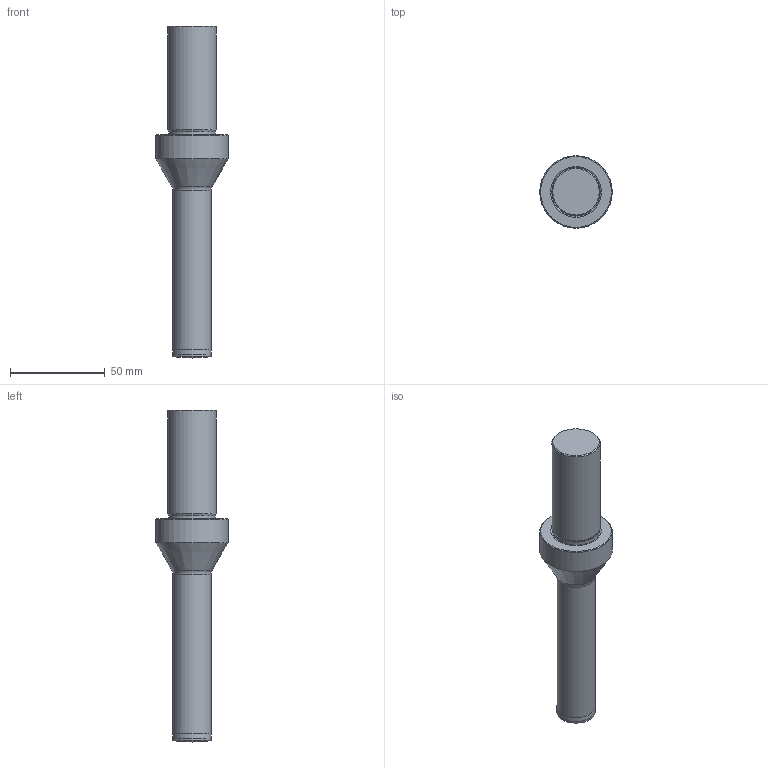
import cadquery as cq
import math

total_length = 174.75

shank_length = 57.15
shank_radius = 25.4 / 2
shank_chamfer = 0.5

relief_depth = 0.5
relief_floor_height = 1.4
relief_top_height = 2.6
relief_outer_radius = shank_radius + 0.65
relief_sink = 0.5

collar_radius = 38.1 / 2
collar_height = 12.7
collar_chamfer = 0.4
cone_half_angle = math.radians(30)
cone_blend_radius = 4.0

stem_radius = 10.05
tip_height = 4.3
tip_land_radius = 10.2
tip_land_top = 2.0
tip_land_bottom = 0.9
tip_end_radius = 7.8
tip_end_rise = 0.4

shoulder_z = total_length - shank_length
cone_top_z = shoulder_z - collar_height
cone_bottom_z = cone_top_z - (collar_radius - stem_radius) / math.tan(cone_half_angle)

blend_tangent = cone_blend_radius * math.tan(cone_half_angle / 2)


def revolve_about_z(profile):
    return profile.revolve(360, (0, 0, 0), (0, 1, 0))


def make_tip():
    profile = (
        cq.Workplane("XZ")
        .moveTo(0, 0)
        .lineTo(tip_end_radius, tip_end_rise)
        .lineTo(tip_land_radius, tip_land_bottom)
        .lineTo(tip_land_radius, tip_land_top)
        .lineTo(stem_radius, tip_height)
        .lineTo(0, tip_height)
        .close()
    )
    return revolve_about_z(profile)


def make_arbor():
    blend_start = (stem_radius, cone_bottom_z - blend_tangent)
    blend_end = (
        stem_radius + blend_tangent * math.sin(cone_half_angle),
        cone_bottom_z + blend_tangent * math.cos(cone_half_angle),
    )
    relief_radius = shank_radius - relief_depth

    profile = (
        cq.Workplane("XZ")
        .moveTo(0, tip_height)
        .lineTo(stem_radius, tip_height)
        .lineTo(*blend_start)
        .tangentArcPoint(blend_end, relative=False)
        .lineTo(collar_radius, cone_top_z)
        .lineTo(collar_radius, shoulder_z - collar_chamfer)
        .lineTo(collar_radius - collar_chamfer, shoulder_z)
        .lineTo(relief_outer_radius, shoulder_z)
        .lineTo(relief_radius, shoulder_z - relief_sink)
        .lineTo(relief_radius, shoulder_z + relief_floor_height)
        .lineTo(shank_radius, shoulder_z + relief_top_height)
        .lineTo(shank_radius, total_length - shank_chamfer)
        .lineTo(shank_radius - shank_chamfer, total_length)
        .lineTo(0, total_length)
        .close()
    )
    return revolve_about_z(profile)


tip = make_tip()
arbor = make_arbor()

result = cq.Compound.makeCompound([tip.val(), arbor.val()])